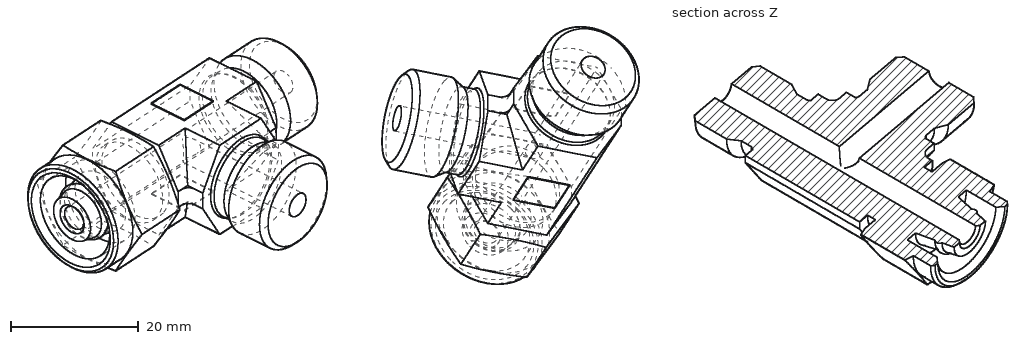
import cadquery as cq
import math


body_across_flats = 17.0
body_half_width = 8.95
body_port_face = 12.1
body_nut_face = -11.2
corner_fillet = 1.5

pad_side = 6.9
pad_height = 0.15

stud_end = 24.0
thread_radius = 8.0
thread_length = 7.35
thread_chamfer = 0.95
relief_radius = 6.85
relief_cone_angle = 30.0
root_radius = 7.1
root_length = 0.5

nut_end = -26.5
nut_across_flats = 19.0
hex_start = -22.5
hex_end = -12.7
hex_chamfer_angle = 15.0
collar_radius = 9.4
collar_chamfer = 0.5
neck_radius = 7.0
nut_bore_radius = 7.2
nut_mouth_radius = 8.2
nut_mouth_depth = 1.0

tip_setback = 0.3
tip_radius = 3.85
cone_half_angle = 12.0
cone_base_radius = 5.27
oring_section_radius = 0.75
oring_outer_radius = 4.8
oring_offset = 2.8

bore_radius = 2.0
bore_chamfer = 0.5

tip_y = nut_end + tip_setback
cone_length = (cone_base_radius - tip_radius) / math.tan(math.radians(cone_half_angle))
cone_base_y = tip_y + cone_length
half_height = body_across_flats / 2
hex_corner = body_across_flats / math.sqrt(3)
flat_half_width = hex_corner / 2
side_half_height = (hex_corner - body_half_width) * math.tan(math.radians(60))


def revolve_run(points):
    """Revolve a closed (radius, y) outline about the Y axis."""
    return cq.Workplane("XY").polyline(points).close().revolve(360, (0, 0, 0), (0, 1, 0))


def to_branch(shape):
    """Turn a shape that points along +Y so that it points along +X."""
    return shape.rotate((0, 0, 0), (0, 0, 1), -90)


def bar(start_y, end_y):
    """Hexagonal bar along Y, with flat top and bottom and cut side corners."""
    outline = [
        (flat_half_width, half_height),
        (body_half_width, side_half_height),
        (body_half_width, -side_half_height),
        (flat_half_width, -half_height),
        (-flat_half_width, -half_height),
        (-body_half_width, -side_half_height),
        (-body_half_width, side_half_height),
        (-flat_half_width, half_height),
    ]
    profile = cq.Workplane("XZ", origin=(0, start_y, 0)).polyline(outline).close()
    return profile.extrude(start_y - end_y)


def inner_corner(side):
    """Round web between the run and the branch, on the +Y or -Y side."""
    edge = body_half_width
    far = edge + corner_fillet
    middle = far - corner_fillet * math.sqrt(0.5)
    return (
        cq.Workplane("XY", origin=(0, 0, -side_half_height))
        .moveTo(edge, side * edge)
        .lineTo(far, side * edge)
        .threePointArc((middle, side * middle), (edge, side * far))
        .close()
        .extrude(2 * side_half_height)
    )


def body():
    run = bar(body_nut_face, body_port_face)
    branch = to_branch(bar(0, body_port_face))
    pads = cq.Workplane("XY").box(pad_side, pad_side, 2 * (half_height + pad_height))
    return run.union(branch).union(inner_corner(1)).union(inner_corner(-1)).union(pads)


def stud():
    """Threaded stud along +Y, with an undercut behind the thread."""
    thread_start = stud_end - thread_length
    relief_drop = thread_radius - relief_radius
    relief_end = thread_start - relief_drop / math.tan(math.radians(relief_cone_angle))
    return revolve_run([
        (0, 0),
        (root_radius, 0),
        (root_radius, body_port_face),
        (relief_radius, body_port_face + root_length),
        (relief_radius, relief_end),
        (thread_radius, thread_start),
        (thread_radius, stud_end - thread_chamfer),
        (thread_radius - thread_chamfer, stud_end),
        (0, stud_end),
    ])


def nut_hexagon():
    """Hexagon of the nut, with its corners chamfered at both ends."""
    flat_radius = nut_across_flats / 2
    corner_radius = nut_across_flats / math.sqrt(3)
    drop = (corner_radius - flat_radius) * math.tan(math.radians(hex_chamfer_angle))
    hexagon = (
        cq.Workplane("XZ", origin=(0, hex_end, 0))
        .polygon(6, 2 * corner_radius)
        .extrude(hex_end - hex_start)
    )
    envelope = revolve_run([
        (0, hex_start),
        (flat_radius, hex_start),
        (corner_radius, hex_start + drop),
        (corner_radius, hex_end - drop),
        (flat_radius, hex_end),
        (0, hex_end),
    ])
    return hexagon.intersect(envelope)


def nut():
    collar = revolve_run([
        (0, nut_end),
        (collar_radius - collar_chamfer, nut_end),
        (collar_radius, nut_end + collar_chamfer),
        (collar_radius, hex_start),
        (0, hex_start),
    ])
    cavity = revolve_run([
        (0, nut_end),
        (nut_mouth_radius, nut_end),
        (nut_bore_radius, nut_end + nut_mouth_depth),
        (nut_bore_radius, cone_base_y),
        (0, cone_base_y),
    ])
    return nut_hexagon().union(collar).cut(cavity)


def neck():
    """Tube that joins the nut to the body."""
    return revolve_run([
        (0, hex_end),
        (neck_radius, hex_end),
        (neck_radius, body_nut_face),
        (0, body_nut_face),
    ])


def sealing_cone():
    """Tapered nose with an O-ring standing proud of it."""
    cone = revolve_run([
        (0, tip_y),
        (tip_radius, tip_y),
        (cone_base_radius, cone_base_y),
        (0, cone_base_y),
    ])
    ring_radius = oring_outer_radius - oring_section_radius
    oring_y = tip_y + oring_offset
    oring = (
        cq.Workplane("XY")
        .center(ring_radius, oring_y)
        .circle(oring_section_radius)
        .revolve(360, (-ring_radius, 0, 0), (-ring_radius, 1, 0))
    )
    return cone.union(oring)


def run_bore():
    """Bore through the whole run, chamfered at the tip of the cone."""
    return revolve_run([
        (0, tip_y),
        (bore_radius + bore_chamfer, tip_y),
        (bore_radius, tip_y + bore_chamfer),
        (bore_radius, stud_end),
        (0, stud_end),
    ])


def branch_bore():
    """Bore from the branch end into the run."""
    return cq.Workplane("YZ").circle(bore_radius).extrude(stud_end)


result = (
    body()
    .union(stud())
    .union(to_branch(stud()))
    .union(neck())
    .union(nut())
    .union(sealing_cone())
    .cut(run_bore())
    .cut(branch_bore())
)